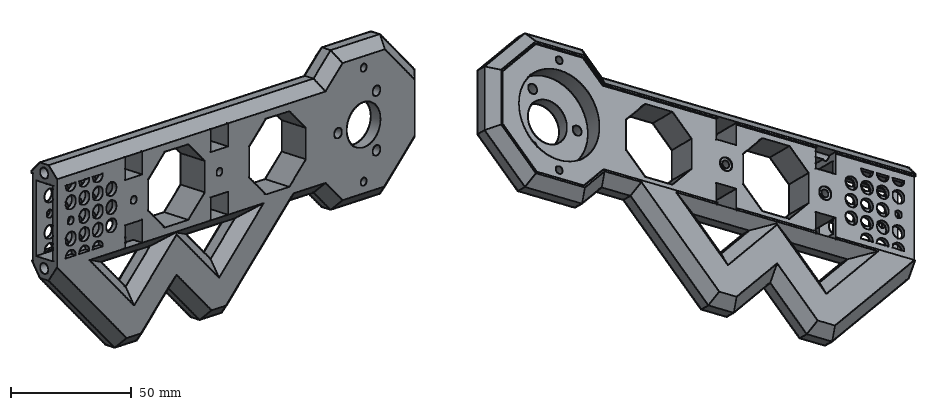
import cadquery as cq
import math


thickness = 15.0
total_length = 215.5
head_width = 70.0
arm_height = 50.0
total_height = 99.5
overrun = 21.5
edge_chamfer = 5.0

head_top = head_width / 2
arm_half = arm_height / 2
arm_end = head_top - total_length
bottom = head_top - total_height
near_face = -thickness / 2

panel_lip = 0.9
panel_depth = 0.9

v_pitch = 50.0
v_last = -135.0
v_flat = 13.0
bar_drop = 31.7
bracket_top = -10.8

motor_pocket_diameter = 41.0
motor_pocket_depth = 9.3
motor_bore_diameter = 19.8
motor_screw_diameter = 4.5
motor_screw_radius = 15.0
motor_screw_count = 3
head_screw_diameter = 3.5
head_screw_offset = 25.0

window_width = 33.2
window_centers = [-50.6, -110.0]
slot_size = 10.1
slot_inner_edge = 10.0
station_centers = [-84.9, -135.3]
screw_diameter = 3.5
screw_head_diameter = 6.0
screw_head_depth = 1.3

bay_height = 33.2
bay_width = 10.0
bay_offset = 0.2
grille_diameter = 6.0
grille_pitch = 8.0
grille_columns = 4
grille_outer_rows = 2
grille_last_column = -172.3
end_screw_diameter = 4.7
end_screw_offset = 21.0


def plate(points, depth=thickness):
    """Prism of a (Y, Z) outline, centred on the middle plane."""
    return cq.Workplane("YZ").polyline(points).close().extrude(depth / 2, both=True)


def chamfered_plate(points):
    """Plate with both rims of its outline chamfered."""
    return plate(points).faces("<X or >X").edges().chamfer(edge_chamfer)


def octagon(width, y=0.0):
    """Corners of a regular octagon with flat sides, given its width across flats."""
    radius = width / 2 / math.cos(math.pi / 8)
    angles = [math.pi / 8 + i * math.pi / 4 for i in range(8)]
    return [(y + radius * math.cos(a), radius * math.sin(a)) for a in angles]


def holes(points, diameter):
    """Cylinders along X through the whole thickness."""
    return cq.Workplane("YZ").pushPoints(points).circle(diameter / 2).extrude(thickness, both=True)


def pockets(points, diameter, depth):
    """Cylinders sunk from the -X face."""
    start = cq.Workplane("YZ").workplane(offset=near_face)
    return start.pushPoints(points).circle(diameter / 2).extrude(depth)


head_side = [(y, z) for y, z in octagon(head_width) if y > 0 or abs(z) > head_width / 4]
head_side.sort(key=lambda corner: math.atan2(corner[1], corner[0]))
neck_y = -(head_width / math.sqrt(2) - arm_half)
tail_y = arm_end - overrun
outline = [(tail_y, -arm_half), (neck_y, -arm_half), *head_side, (neck_y, arm_half), (tail_y, arm_half)]
body = chamfered_plate(outline)

v_first = v_last + v_pitch
v_middle = (v_first + v_last) / 2
tip = bottom - v_flat / 2
peak = tip + v_pitch / 2
reach = bracket_top - tip
inner_reach = reach - bar_drop
brackets = chamfered_plate([
    (v_first + reach, bracket_top),
    (v_first + v_flat / 2, bottom),
    (v_first - v_flat / 2, bottom),
    (v_middle, peak),
    (v_last + v_flat / 2, bottom),
    (v_last - v_flat / 2, bottom),
    (v_last - reach, bracket_top),
    (v_last - inner_reach, bracket_top),
    (v_last, tip + bar_drop),
    (v_middle, peak + bar_drop),
    (v_first, tip + bar_drop),
    (v_first + inner_reach, bracket_top),
])
body = body.union(brackets)

end_trim = cq.Workplane("XY").box(thickness, total_length, 2 * total_height)
body = body.intersect(end_trim.translate((0, arm_end + total_length / 2, 0)))
corner_trim = chamfered_plate([
    (v_last + overrun, tip - overrun),
    (v_last - total_height, tip + total_height),
    (v_last - total_height, head_top + overrun),
    (head_top + overrun, head_top + overrun),
    (head_top + overrun, tip - overrun),
])
body = body.intersect(corner_trim)

panel = (
    cq.Workplane("YZ").workplane(offset=near_face)
    .polyline(outline).close()
    .offset2D(-(edge_chamfer + panel_lip), "intersection")
    .extrude(panel_depth)
)
body = body.cut(panel)

screw_angles = [math.pi + i * 2 * math.pi / motor_screw_count for i in range(motor_screw_count)]
motor_screws = [(motor_screw_radius * math.cos(a), motor_screw_radius * math.sin(a)) for a in screw_angles]
body = body.cut(pockets([(0, 0)], motor_pocket_diameter, motor_pocket_depth))
body = body.cut(holes([(0, 0)], motor_bore_diameter))
body = body.cut(holes(motor_screws, motor_screw_diameter))
body = body.cut(holes([(0, head_screw_offset), (0, -head_screw_offset)], head_screw_diameter))

for y in window_centers:
    body = body.cut(plate(octagon(window_width, y)))

slot_z = slot_inner_edge + slot_size / 2
slot_points = [(y, side * slot_z) for y in station_centers for side in (1, -1)]
slots = cq.Workplane("YZ").pushPoints(slot_points).rect(slot_size, slot_size).extrude(thickness, both=True)
end_screw_depth = station_centers[-1] + slot_size / 2 - arm_end
end_plane = cq.Workplane("XZ", origin=(0, arm_end, 0))
end_points = [(0, end_screw_offset), (0, -end_screw_offset)]
end_holes = end_plane.pushPoints(end_points).circle(end_screw_diameter / 2).extrude(-end_screw_depth)
body = body.cut(slots.union(end_holes))

station_points = [(y, 0) for y in station_centers]
body = body.cut(holes(station_points, screw_diameter))
body = body.cut(pockets(station_points, screw_head_diameter, screw_head_depth))

bay_length = station_centers[-1] - slot_size / 2 - arm_end
bay = cq.Workplane("XY").box(bay_width, bay_length, bay_height)
body = body.cut(bay.translate((bay_offset, arm_end + bay_length / 2, 0)))

grille_points = []
for column in range(grille_columns):
    for row in range(-grille_outer_rows, grille_outer_rows + 1):
        is_screw = column == 0 and row == 0
        is_missing_corner = column == grille_columns - 1 and abs(row) == grille_outer_rows
        if not is_screw and not is_missing_corner:
            grille_points.append((grille_last_column + column * grille_pitch, row * grille_pitch))
grille_height = 2 * grille_outer_rows * grille_pitch
grille_limit = cq.Workplane("XY").box(thickness, 2 * total_length, grille_height)
body = body.cut(holes(grille_points, grille_diameter).intersect(grille_limit))
body = body.cut(holes([(grille_last_column, 0)], screw_diameter))

result = body